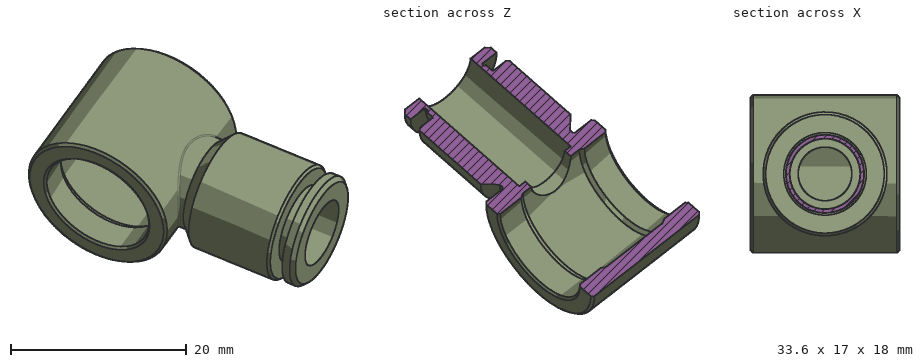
import cadquery as cq

ring_radius = 9.0
ring_width = 17.0
rim_chamfer = 0.3
bore_radius = 6.62
bore_chamfer = 0.27
land_width = 3.55
relief_depth = 0.3
relief_taper = 0.55

overall_length = 33.6
neck_radius = 5.5
neck_end = 9.6
neck_fillet = 0.2
body_radius = 7.05
body_end = 21.6
body_chamfer = 0.3
collar_radius = 4.7
collar_end = 22.75
collar_tip_radius = 4.47
flange_radius = 6.75
flange_start = 23.1
flange_chamfer = 0.5
socket_end = overall_length - ring_radius

port_radius = 3.05
tube_radius = 4.0
tube_stop = 7.95


def make_ring():
    """Solid cylinder with chamfered rims."""
    ring = cq.Workplane("XZ").circle(ring_radius).extrude(ring_width / 2, both=True)
    return ring.faces("<Y or >Y").chamfer(rim_chamfer)


def make_socket():
    """Neck, body, release collar and flange revolved as one profile."""
    body_slope = body_radius - neck_radius
    profile = [
        (0, 0),
        (0, neck_radius),
        (neck_end, neck_radius),
        (neck_end + body_slope, body_radius),
        (body_end - body_chamfer, body_radius),
        (body_end, body_radius - body_chamfer),
        (body_end, collar_radius),
        (collar_end, collar_radius),
        (collar_end, collar_tip_radius),
        (flange_start, collar_tip_radius),
        (flange_start, flange_radius),
        (socket_end - flange_chamfer, flange_radius),
        (socket_end, flange_radius - flange_chamfer),
        (socket_end, 0),
    ]
    return cq.Workplane("XY").polyline(profile).close().revolve(360, (0, 0), (1, 0))


def make_bore():
    """Through bore with chamfered mouths and a wider middle."""
    half_width = ring_width / 2
    mouth_radius = bore_radius + bore_chamfer
    relief_radius = bore_radius + relief_depth
    relief_half = half_width - land_width
    profile = [
        (0, -half_width),
        (mouth_radius, -half_width),
        (bore_radius, -half_width + bore_chamfer),
        (bore_radius, -relief_half),
        (relief_radius, -relief_half + relief_taper),
        (relief_radius, relief_half - relief_taper),
        (bore_radius, relief_half),
        (bore_radius, half_width - bore_chamfer),
        (mouth_radius, half_width),
        (0, half_width),
    ]
    return cq.Workplane("XY").polyline(profile).close().revolve(360, (0, 0), (0, 1))


def make_passage():
    """Port from the ring bore, stepping out to the tube socket."""
    port = cq.Workplane("YZ").circle(port_radius).extrude(socket_end)
    tube_hole = (
        cq.Workplane("YZ", origin=(tube_stop, 0, 0))
        .circle(tube_radius)
        .extrude(socket_end - tube_stop)
    )
    return port.union(tube_hole)


def make_body():
    """Ring and socket joined, with a fillet where the neck meets the ring."""
    body = make_ring().union(make_socket())
    junction = cq.selectors.BoxSelector(
        (0, -neck_radius - neck_fillet, -neck_radius - neck_fillet),
        (neck_end - neck_fillet, neck_radius + neck_fillet, neck_radius + neck_fillet),
    )
    return body.edges(junction).fillet(neck_fillet)


result = make_body().cut(make_bore()).cut(make_passage())